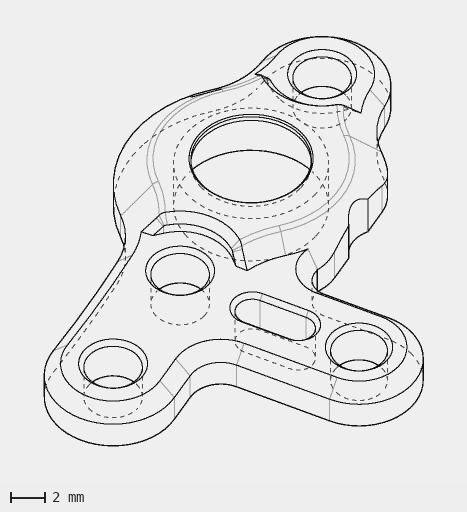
import cadquery as cq
import math

plate_height = 2.75
hub_height = 3.9
wall_height = 1.8

hub_radius = 8.0
lug_offset = 9.0
lug_radius = 4.0
neck_radius = 5.0
hub_edge_round = 0.5
bore_radius = 3.5
bore_chamfer = 0.1
seat_radius = 4.5
lip_thickness = 0.4

pocket_radius = 3.2
pocket_chamfer = 0.53

flat_x = 7.0
flat_corner_radius = 3.0
notch_radius = 2.0
notch_floor_x = 6.6

leg_end_y = -17.5
arm_end = (12.07, -9.77)
arm_radius = 3.73
upper_arm_fillet = 1.25
lower_arm_fillet = 2.0

lug_hole_radius = 1.7
arm_hole_radius = 1.65
hole_chamfer = 0.3
slot_center = (6.6, arm_end[1])
slot_length = 5.0
slot_width = 2.0

tolerance = 1e-6
bevel_angle = 45

plate_bevel = plate_height - wall_height
hub_bevel = hub_height - wall_height


def point_toward(start, target, distance):
    """Point at the given distance from start on the way to target."""
    dx = target[0] - start[0]
    dy = target[1] - start[1]
    scale = distance / math.hypot(dx, dy)
    return (start[0] + dx * scale, start[1] + dy * scale)


def circle_crossing(radius, center, other_radius):
    """Crossing of an origin-centred circle with another, on the left looking toward the other centre."""
    distance = math.hypot(*center)
    along = (distance ** 2 + radius ** 2 - other_radius ** 2) / (2 * distance)
    across = math.sqrt(radius ** 2 - along ** 2)
    unit_x = center[0] / distance
    unit_y = center[1] / distance
    return (along * unit_x - across * unit_y, along * unit_y + across * unit_x)


def mirrored(point, x_sign, y_sign):
    return (point[0] * x_sign, point[1] * y_sign)


disc_reach = hub_radius + neck_radius
lug_reach = lug_radius + neck_radius
neck_center_y = (disc_reach ** 2 - lug_reach ** 2 + lug_offset ** 2) / (2 * lug_offset)
neck_center_x = math.sqrt(disc_reach ** 2 - neck_center_y ** 2)
neck_center = (neck_center_x, neck_center_y)
neck_disc = point_toward((0, 0), neck_center, hub_radius)
neck_lug = point_toward((0, lug_offset), neck_center, lug_radius)
neck_middle = point_toward(neck_center, (0, lug_offset / 2), neck_radius)


def hub_outline():
    """Disc and both lugs with their neck blends, symmetric about X and Y."""
    return (
        cq.Workplane("XY")
        .moveTo(*mirrored(neck_lug, -1, 1))
        .threePointArc((0, lug_offset + lug_radius), neck_lug)
        .threePointArc(neck_middle, neck_disc)
        .threePointArc((hub_radius, 0), mirrored(neck_disc, 1, -1))
        .threePointArc(mirrored(neck_middle, 1, -1), mirrored(neck_lug, 1, -1))
        .threePointArc((0, -lug_offset - lug_radius), mirrored(neck_lug, -1, -1))
        .threePointArc(mirrored(neck_middle, -1, -1), mirrored(neck_disc, -1, -1))
        .threePointArc((-hub_radius, 0), mirrored(neck_disc, -1, 1))
        .threePointArc(mirrored(neck_middle, -1, 1), mirrored(neck_lug, -1, 1))
        .close()
    )


def plate_outline():
    """Hub outline carried on into the leg along -Y and the side arm along +X."""
    arm_x, arm_y = arm_end
    arm_top = arm_y + arm_radius
    arm_bottom = arm_y - arm_radius
    upper_center = (notch_floor_x + upper_arm_fillet, arm_top + upper_arm_fillet)
    disc_corner = circle_crossing(hub_radius, upper_center, upper_arm_fillet)
    lower_center = (lug_radius + lower_arm_fillet, arm_bottom - lower_arm_fillet)
    upper_middle = point_toward(upper_center, (upper_center[0] - 1, upper_center[1] - 1), upper_arm_fillet)
    lower_middle = point_toward(lower_center, (lower_center[0] - 1, lower_center[1] + 1), lower_arm_fillet)

    flank_high = mirrored(neck_lug, -1, -1)
    flank_middle_y = (leg_end_y - lug_offset) / 2
    flank_low = (flank_high[0], 2 * flank_middle_y - flank_high[1])
    lug_to_flank = lug_radius * (lug_offset + flank_middle_y) / (lug_offset + flank_high[1])
    flank_center = point_toward((0, -lug_offset), flank_high, lug_to_flank)
    flank_middle = (flank_center[0] + lug_to_flank - lug_radius, flank_middle_y)

    return (
        cq.Workplane("XY")
        .moveTo(*mirrored(neck_lug, -1, 1))
        .threePointArc((0, lug_offset + lug_radius), neck_lug)
        .threePointArc(neck_middle, neck_disc)
        .threePointArc((hub_radius, 0), disc_corner)
        .threePointArc(upper_middle, (upper_center[0], arm_top))
        .lineTo(arm_x, arm_top)
        .threePointArc((arm_x + arm_radius, arm_y), (arm_x, arm_bottom))
        .lineTo(lower_center[0], arm_bottom)
        .threePointArc(lower_middle, (lug_radius, lower_center[1]))
        .lineTo(lug_radius, leg_end_y)
        .threePointArc((0, leg_end_y - lug_radius), flank_low)
        .threePointArc(flank_middle, flank_high)
        .threePointArc(mirrored(neck_middle, -1, -1), mirrored(neck_disc, -1, -1))
        .threePointArc((-hub_radius, 0), mirrored(neck_disc, -1, 1))
        .threePointArc(mirrored(neck_middle, -1, 1), mirrored(neck_lug, -1, 1))
        .close()
    )


def pocket():
    """Clearance around the +Y lug: a 90 degree arc toward the hub, opening along its tangents."""
    reach = pocket_radius * math.sqrt(0.5)
    spread = 3 * lug_radius
    return (
        cq.Workplane("XY", origin=(0, lug_offset, plate_height))
        .moveTo(-reach, -reach)
        .threePointArc((0, -pocket_radius), (reach, -reach))
        .line(spread, spread)
        .lineTo(-reach - spread, spread - reach)
        .close()
        .extrude(hub_height)
    )


def pocket_rims(body):
    """Upper edges of the upright pocket walls; their other edges are straight or lie on the pocket floor."""
    walls = [
        face
        for face in body.Faces()
        if face.Center().z > plate_height and abs(face.normalAt().z) < tolerance
    ]
    return [
        edge
        for face in walls
        for edge in face.Edges()
        if edge.geomType() != "LINE" and edge.Center().z > plate_height + tolerance
    ]


def hub():
    body = hub_outline().extrude(hub_height)
    body = body.faces(">Z").edges().chamfer(hub_bevel)
    body = body.faces(">Z").edges().fillet(hub_edge_round)
    lug_pocket = pocket()
    body = body.cut(lug_pocket).cut(lug_pocket.mirror("XZ"))
    return body.newObject(pocket_rims(body.val())).chamfer(pocket_chamfer)


def plate():
    return plate_outline().extrude(plate_height).faces(">Z").edges().chamfer(plate_bevel)


def side_relief():
    """Everything beyond the flat beside the hub, plus the shallow round notch in that flat."""
    corner_x = flat_x - flat_corner_radius
    corner_y = math.sqrt((hub_radius - flat_corner_radius) ** 2 - corner_x ** 2)
    corner_center = (corner_x, corner_y)
    round_start = point_toward((0, 0), corner_center, hub_radius)
    round_middle = point_toward(corner_center, (flat_x, round_start[1]), flat_corner_radius)
    round_cut_y = corner_y + math.sqrt(flat_corner_radius ** 2 - (notch_floor_x - corner_x) ** 2)
    lower_middle = point_toward(corner_center, (flat_x, (corner_y + round_cut_y) / 2), flat_corner_radius)
    beyond_flat = (
        cq.Workplane("XY")
        .moveTo(hub_radius, round_start[1])
        .lineTo(*round_start)
        .threePointArc(round_middle, (flat_x, corner_y))
        .lineTo(flat_x, -corner_y)
        .threePointArc(mirrored(lower_middle, 1, -1), (notch_floor_x, -round_cut_y))
        .lineTo(hub_radius, -round_cut_y)
        .close()
        .extrude(hub_height)
    )
    notch_center_x = notch_floor_x + notch_radius
    notch = cq.Workplane("XY").center(notch_center_x, 0).circle(notch_radius).extrude(hub_height)
    return beyond_flat.union(notch)


def round_hole(center, radius, chamfer, top):
    """Through hole with a 45 degree chamfer at its upper mouth."""
    bore = cq.Workplane("XY").center(*center).circle(radius).extrude(top)
    mouth = (
        cq.Workplane("XY", origin=(*center, top))
        .circle(radius + chamfer)
        .extrude(-chamfer, taper=bevel_angle)
    )
    return bore.union(mouth)


def slot():
    """Through slot with a 45 degree chamfer at its upper mouth."""
    opening = cq.Workplane("XY").center(*slot_center).slot2D(slot_length, slot_width).extrude(plate_height)
    mouth = (
        cq.Workplane("XY", origin=(*slot_center, plate_height))
        .slot2D(slot_length + 2 * hole_chamfer, slot_width + 2 * hole_chamfer)
        .extrude(-hole_chamfer, taper=bevel_angle)
    )
    return opening.union(mouth)


result = hub().union(plate()).cut(side_relief())
result = result.cut(round_hole((0, 0), bore_radius, bore_chamfer, hub_height))
result = result.cut(cq.Workplane("XY").circle(seat_radius).extrude(hub_height - lip_thickness))
for lug_y in (lug_offset, -lug_offset, leg_end_y):
    result = result.cut(round_hole((0, lug_y), lug_hole_radius, hole_chamfer, plate_height))
result = result.cut(round_hole(arm_end, arm_hole_radius, hole_chamfer, plate_height))
result = result.cut(slot())